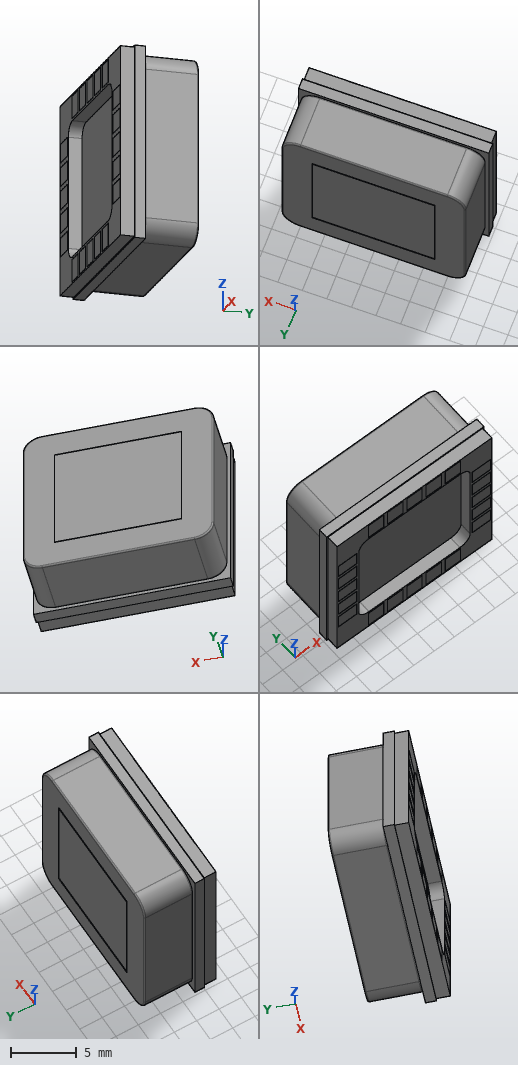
import cadquery as cq

flange_size = 15.5
board_size = 15.25
board_depth = 1.1
flange_depth = 0.87
pocket_size = 10.97
pocket_radius = 1.0
pocket_depth = board_depth
pad_width = 1.5
pad_length = 1.8
pad_pitch = 1.89
pads_per_side = 5
pad_span = 14.97
pad_height = 0.008

cover_size = 14.97
cover_corner_radius = 1.5
cover_edge_radius = 0.12
plate_size = 9.98
plate_height = 0.05

total_depth = 6.39
board_front = pad_height
flange_front = board_front + board_depth
flange_rear = flange_front + flange_depth
cover_rear = total_depth - plate_height


def block(width, height, front, depth, x=0.0, z=0.0):
    """Rectangular block from y = front to y = front + depth, centred on (x, z)."""
    return cq.Workplane("XY").box(width, depth, height).translate((x, front + depth / 2, z))


def make_pads():
    """Contact pads along all four edges, reaching from y = 0 to the board face."""
    pads = []
    edge_offset = (pad_span - pad_length) / 2
    for index in range(pads_per_side):
        along = (index - (pads_per_side - 1) / 2) * pad_pitch
        for across in (-edge_offset, edge_offset):
            pads.append(block(pad_width, pad_length, 0, pad_height, x=along, z=across))
            pads.append(block(pad_length, pad_width, 0, pad_height, x=across, z=along))
    return pads


def make_base():
    base = block(board_size, board_size, board_front, board_depth)
    base = base.union(block(flange_size, flange_size, flange_front, flange_depth))
    pocket = block(pocket_size, pocket_size, board_front, pocket_depth)
    base = base.cut(pocket.edges("|Y").fillet(pocket_radius))
    for pad in make_pads():
        base = base.union(pad)
    return base


def make_cover():
    cover = block(cover_size, cover_size, flange_rear, cover_rear - flange_rear)
    cover = cover.edges("|Y").fillet(cover_corner_radius)
    cover = cover.faces("<Y or >Y").edges().fillet(cover_edge_radius)
    return cover.union(block(plate_size, plate_size, cover_rear, plate_height))


base = make_base()
cover = make_cover()

result = cq.Compound.makeCompound([base.val(), cover.val()])